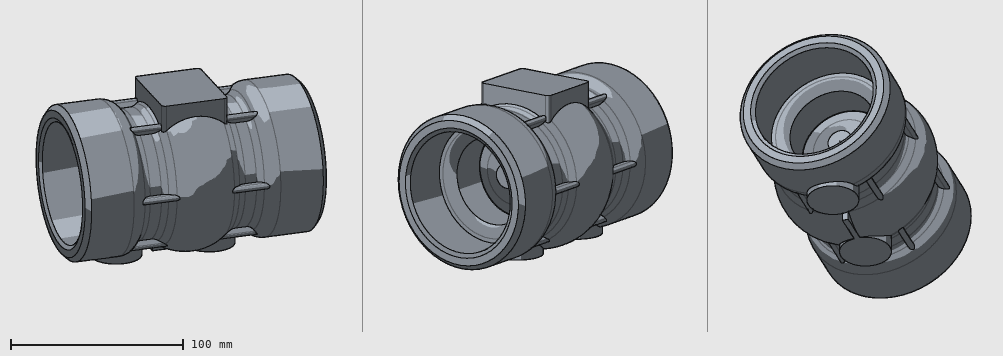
import cadquery as cq
import math

length = 148.0
half_length = length / 2
collar_radius = 92.0 / 2
collar_chamfer = 3.0
collar_inner_end = 45.0
inflection_at = 36.5
neck_outer_end = 32.5
neck_radius = 78.0 / 2

belly_crown_radius = 48.4
belly_arc_radius = 63.0 / 2
belly_slope = math.radians(34)
belly_fillet = 7.1

mouth_radius = 77.1 / 2
mouth_chamfer_depth = 1.5
bore_radius = 72.2 / 2
bore_depth = 29.6
throat_radius = 52.0 / 2
throat_round = 10.0
throat_round_angle = math.radians(49)
plug_radius = 51.2 / 2
plug_base = 19.2
plug_cone_height = 2.7
flare_radius = 36.5 / 2
flare_height = 6.0
tip_radius = 14.4 / 2
pinhole_radius = 0.2 / 2
pinhole_depth = 1.5

rib_count = 6
rib_thickness = 3.5
rib_outer_radius = 44.0
rib_inner_radius = 35.5
rib_start = 14.8
rib_end = 41.5

pad_width = 49.5
pad_length = 40.1
pad_top = 50.5
pad_root = 29.6
pad_corner = 2.2
foot_bottom = -48.5
boss_diameter = 30.0
boss_root = -36.7
middle_boss_y = 17.2
end_boss_y = -40.0
web_end_y = -18.2
web_thickness = rib_thickness


belly_end = belly_arc_radius * math.sin(belly_slope)
belly_end_radius = belly_crown_radius - belly_arc_radius * (1 - math.cos(belly_slope))


def belly():
    """Solid middle of the body with a round bulge."""
    return (
        cq.Workplane("XY")
        .moveTo(0, -belly_end)
        .lineTo(belly_end_radius, -belly_end)
        .threePointArc((belly_crown_radius, 0), (belly_end_radius, belly_end))
        .lineTo(0, belly_end)
        .close()
        .revolve(360, (0, 0, 0), (0, 1, 0))
    )


def body_end():
    """Revolve the part of the body on the +Y side of the belly, with its socket and plug."""
    step_share = (collar_inner_end - inflection_at) / (collar_inner_end - neck_outer_end)
    inflection_radius = collar_radius - step_share * (collar_radius - neck_radius)

    fillet_start_radius = neck_radius + belly_fillet * (1 - math.cos(belly_slope))
    fillet_start = belly_end + (belly_end_radius - fillet_start_radius) / math.tan(belly_slope)
    neck_inner_end = fillet_start + belly_fillet * math.sin(belly_slope)

    bore_floor = half_length - bore_depth
    cone_end = plug_base + plug_cone_height
    tip = cone_end + flare_height
    throat_end = bore_floor - throat_round * (1 - math.cos(throat_round_angle))
    throat_round_start = throat_radius + throat_round * math.sin(throat_round_angle)

    return (
        cq.Workplane("XY")
        .moveTo(0, belly_end)
        .lineTo(belly_end_radius, belly_end)
        .lineTo(fillet_start_radius, fillet_start)
        .tangentArcPoint((neck_radius, neck_inner_end), relative=False)
        .lineTo(neck_radius, neck_outer_end)
        .tangentArcPoint((inflection_radius, inflection_at), relative=False)
        .tangentArcPoint((collar_radius, collar_inner_end), relative=False)
        .lineTo(collar_radius, half_length - collar_chamfer)
        .lineTo(collar_radius - collar_chamfer, half_length)
        .lineTo(mouth_radius, half_length)
        .lineTo(bore_radius, half_length - mouth_chamfer_depth)
        .lineTo(bore_radius, bore_floor)
        .lineTo(throat_round_start, bore_floor)
        .tangentArcPoint((throat_radius, throat_end), relative=False)
        .lineTo(throat_radius, plug_base)
        .lineTo(plug_radius, plug_base)
        .lineTo(flare_radius, cone_end)
        .tangentArcPoint((tip_radius, tip), relative=False)
        .lineTo(pinhole_radius, tip)
        .lineTo(pinhole_radius, tip - pinhole_depth)
        .lineTo(0, tip - pinhole_depth)
        .close()
        .revolve(360, (0, 0, 0), (0, 1, 0))
    )


def rib(angle):
    """One neck rib with a fully rounded outer edge, turned about the Y axis."""
    crest = rib_outer_radius - rib_thickness / 2
    return (
        cq.Workplane("XZ", origin=(0, rib_start, 0))
        .moveTo(rib_inner_radius, -rib_thickness / 2)
        .lineTo(crest, -rib_thickness / 2)
        .threePointArc((rib_outer_radius, 0), (crest, rib_thickness / 2))
        .lineTo(rib_inner_radius, rib_thickness / 2)
        .close()
        .extrude(rib_start - rib_end)
        .rotate((0, 0, 0), (0, 1, 0), angle)
    )


def top_pad():
    return (
        cq.Workplane("XY", origin=(0, 0, pad_root))
        .rect(pad_width, pad_length)
        .extrude(pad_top - pad_root)
        .edges("|Z")
        .fillet(pad_corner)
    )


def foot_boss(y):
    """Round boss under the body, centred at the given Y."""
    return (
        cq.Workplane("XY", origin=(0, y, foot_bottom))
        .circle(boss_diameter / 2)
        .extrude(boss_root - foot_bottom)
    )


def foot_web():
    """Thin upright web that runs from the middle boss under the belly."""
    return (
        cq.Workplane("XY", origin=(0, (middle_boss_y + web_end_y) / 2, foot_bottom))
        .rect(web_thickness, middle_boss_y - web_end_y)
        .extrude(boss_root - foot_bottom)
    )


end = body_end()
for index in range(rib_count):
    end = end.union(rib(index * 360 / rib_count))

result = (
    belly()
    .union(end)
    .union(end.mirror("XZ"))
    .union(top_pad())
    .union(foot_boss(middle_boss_y))
    .union(foot_boss(end_boss_y))
    .union(foot_web())
)